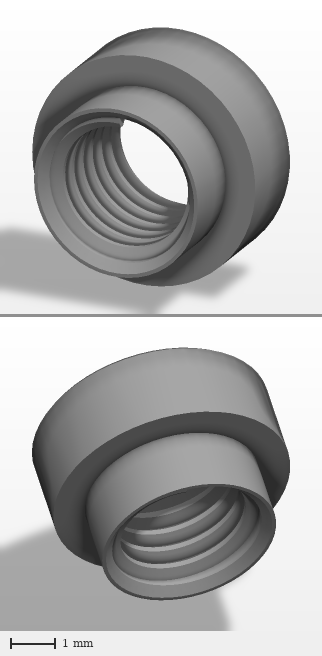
import cadquery as cq

flange_radius = 2.78
flange_length = 2.0
flange_chamfer = 0.115
boss_radius = 2.04
boss_length = 1.52

thread_root_radius = 1.75
thread_crest_radius = 1.5
thread_pitch = 0.5
crest_width = thread_pitch / 4
root_width = thread_pitch / 8
thread_start_offset = 0.135
wall_overlap = 0.015

mouth_radius = 1.95
mouth_depth = mouth_radius - thread_root_radius

boss_face = -boss_length
thread_front = boss_face + mouth_depth


def revolve_about_axis(profile):
    """Turn a closed (radius, Y) outline about the Y axis."""
    return cq.Workplane("XY").polyline(profile).close().revolve(360, (0, 0, 0), (0, 1, 0))


def make_body():
    """Flange with a chamfered back rim, and the boss in front of it."""
    return revolve_about_axis([
        (0, boss_face),
        (boss_radius, boss_face),
        (boss_radius, 0),
        (flange_radius, 0),
        (flange_radius, flange_length - flange_chamfer),
        (flange_radius - flange_chamfer, flange_length),
        (0, flange_length),
    ])


def make_bore():
    """Through bore at the thread root with a conical mouth in the boss face."""
    return revolve_about_axis([
        (0, boss_face),
        (mouth_radius, boss_face),
        (thread_root_radius, thread_front),
        (thread_root_radius, flange_length),
        (0, flange_length),
    ])


def make_thread_ridge():
    """Trapezoidal ridge winding back from the top of the bore, flush with its ends."""
    foot_radius = thread_root_radius + wall_overlap
    crest_half = crest_width / 2
    foot_half = (thread_pitch - root_width) / 2
    flank_slope = (foot_half - crest_half) / (thread_root_radius - thread_crest_radius)
    foot_half += wall_overlap * flank_slope
    thread_length = flange_length - thread_front

    helix = cq.Wire.makeHelix(
        thread_pitch, thread_length + thread_pitch, thread_root_radius, lefthand=True)
    ridge = (
        cq.Workplane("XZ")
        .polyline([
            (thread_crest_radius, -crest_half),
            (foot_radius, -foot_half),
            (foot_radius, foot_half),
            (thread_crest_radius, crest_half),
        ])
        .close()
        .sweep(cq.Workplane(obj=helix), isFrenet=True)
    )
    ridge = (
        ridge.rotate((0, 0, 0), (1, 0, 0), -90)
        .rotate((0, 0, 0), (0, 1, 0), -90)
        .translate((0, thread_front + thread_start_offset, 0))
    )
    width = 2 * flange_radius
    threaded_zone = (
        cq.Workplane("XY")
        .box(width, thread_length, width)
        .translate((0, (thread_front + flange_length) / 2, 0))
    )
    return ridge.intersect(threaded_zone)


seam_angle = 180
blank = make_body().cut(make_bore()).rotate((0, 0, 0), (0, 1, 0), seam_angle)
result = blank.union(make_thread_ridge())